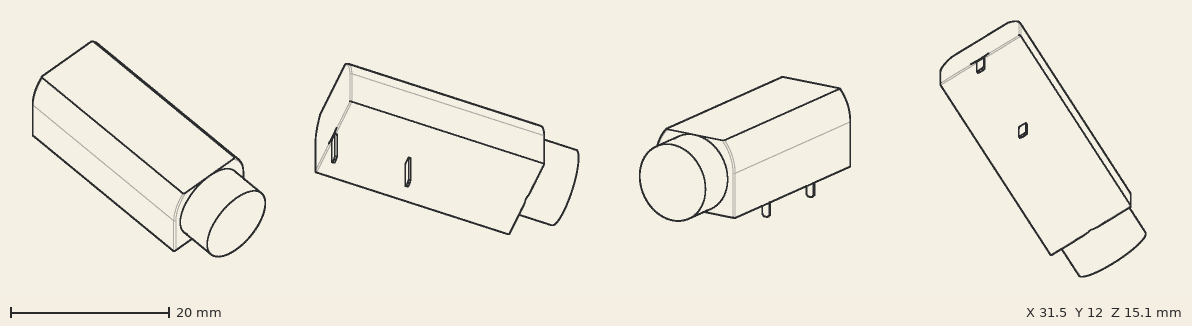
import cadquery as cq
import math

total_length = 31.5
body_length = 26.5
body_width = 12.0
body_height = 10.05
end_fillet = 0.2

shoulder_radius = body_width / 2
shoulder_z = 6.0
top_half_width = math.sqrt(shoulder_radius**2 - (body_height - shoulder_z) ** 2)

barrel_diameter = 10.05

pin_length = 5.0
pin_width = 1.07
pin_thickness = 0.28
pin_tip_chamfer = 0.28
first_pin_x = 0.25
pin_pitch = 10.02
pin_embed = 0.63


def make_body():
    half_width = body_width / 2
    arc_angle = math.asin((body_height - shoulder_z) / shoulder_radius) / 2
    arc_y = shoulder_radius * math.cos(arc_angle)
    arc_z = shoulder_z + shoulder_radius * math.sin(arc_angle)
    body = (
        cq.Workplane("YZ")
        .moveTo(-half_width, 0)
        .lineTo(half_width, 0)
        .lineTo(half_width, shoulder_z)
        .threePointArc((arc_y, arc_z), (top_half_width, body_height))
        .lineTo(-top_half_width, body_height)
        .threePointArc((-arc_y, arc_z), (-half_width, shoulder_z))
        .close()
        .extrude(body_length)
    )
    rounded_edges = body.faces("<X or >X").edges("not >Z")
    return rounded_edges.fillet(end_fillet)


def make_barrel():
    return (
        cq.Workplane("YZ", origin=(0, 0, barrel_diameter / 2))
        .circle(barrel_diameter / 2)
        .extrude(total_length)
    )


def make_pin(center_x):
    return (
        cq.Workplane("XY", origin=(center_x, 0, -pin_length))
        .rect(pin_thickness, pin_width)
        .extrude(pin_length + pin_embed)
        .faces("<Z")
        .edges("|X")
        .chamfer(pin_tip_chamfer)
    )


result = make_body().union(make_barrel())
for pin_index in range(2):
    result = result.union(make_pin(first_pin_x + pin_index * pin_pitch))